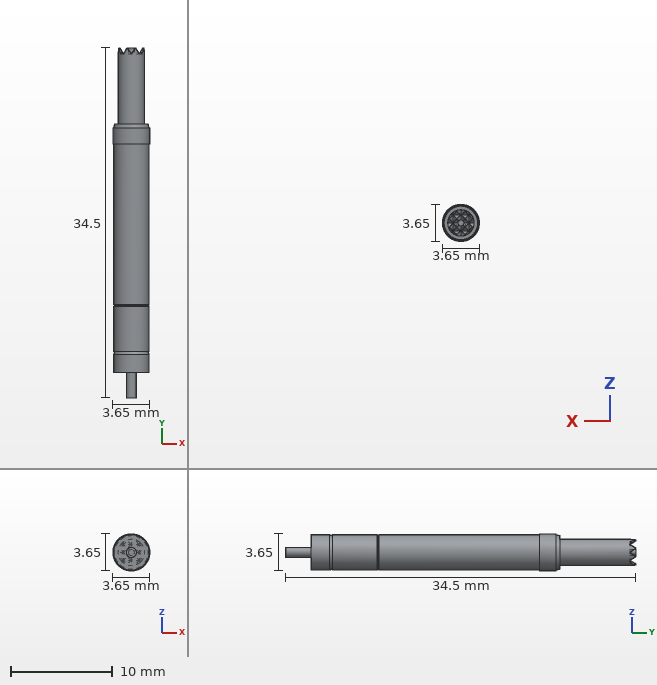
import cadquery as cq

total_length = 34.5
pin_length = 2.5
rear_groove_offset = 4.3
front_groove_offset = 9.0
collar_length = 1.6
nose_length = 0.4
plunger_length = 7.5

tip_y = total_length / 2
pin_end_y = tip_y - total_length
barrel_start_y = pin_end_y + pin_length
rear_groove_y = pin_end_y + rear_groove_offset
front_groove_y = pin_end_y + front_groove_offset
nose_front_y = tip_y - plunger_length
nose_rear_y = nose_front_y - nose_length
collar_rear_y = nose_rear_y - collar_length

pin_radius = 0.5
barrel_radius = 1.75
collar_radius = 1.825
nose_rear_radius = 1.75
nose_front_radius = 1.65
plunger_radius = 1.3

groove_depth = 0.1
rear_groove_width = 0.3
front_groove_width = 0.2

side_groove_offset = 0.78
side_groove_depth = 0.6
side_groove_half_width = 0.36
middle_groove_depth = 0.6
middle_groove_half_width = 0.43
center_post_radius = 0.3


def cylinder(radius, start_y, end_y):
    """Solid cylinder on the Y axis."""
    base = cq.Workplane("XZ", origin=(0, start_y, 0))
    return base.circle(radius).extrude(start_y - end_y)


def revolved(profile):
    """Solid made by turning (radius, y) points about the Y axis."""
    return cq.Workplane("XY").polyline(profile).close().revolve(360, (0, 0, 0), (0, 1, 0))


def make_barrel():
    """Pin, barrel with two turned grooves, collar and tapered nose."""
    groove_radius = barrel_radius - groove_depth
    rear_groove_front_y = rear_groove_y + rear_groove_width
    front_groove_middle_y = front_groove_y + front_groove_width / 2
    front_groove_front_y = front_groove_y + front_groove_width
    return revolved([
        (0, pin_end_y),
        (pin_radius, pin_end_y),
        (pin_radius, barrel_start_y),
        (barrel_radius, barrel_start_y),
        (barrel_radius, rear_groove_y),
        (groove_radius, rear_groove_front_y),
        (barrel_radius, rear_groove_front_y),
        (barrel_radius, front_groove_y),
        (groove_radius, front_groove_middle_y),
        (barrel_radius, front_groove_front_y),
        (barrel_radius, collar_rear_y),
        (collar_radius, collar_rear_y),
        (collar_radius, nose_rear_y),
        (nose_rear_radius, nose_rear_y),
        (nose_front_radius, nose_front_y),
        (0, nose_front_y),
    ])


def make_groove(offset, half_width, depth):
    """V-shaped cutter running along Z across the tip, centred at X = offset."""
    outline = [
        (offset - half_width, tip_y),
        (offset, tip_y - depth),
        (offset + half_width, tip_y),
    ]
    return cq.Workplane("XY").polyline(outline).close().extrude(plunger_radius, both=True)


def make_plunger():
    """Plunger rod ending in teeth left between crossing V grooves, with a centre post."""
    grooves = [make_groove(0, middle_groove_half_width, middle_groove_depth)]
    for offset in (-side_groove_offset, side_groove_offset):
        grooves.append(make_groove(offset, side_groove_half_width, side_groove_depth))
    plunger = cylinder(plunger_radius, nose_front_y, tip_y)
    for groove in grooves:
        plunger = plunger.cut(groove)
        plunger = plunger.cut(groove.rotate((0, 0, 0), (0, 1, 0), 90))
    return plunger.union(cylinder(center_post_radius, nose_front_y, tip_y))


result = make_barrel().union(make_plunger())